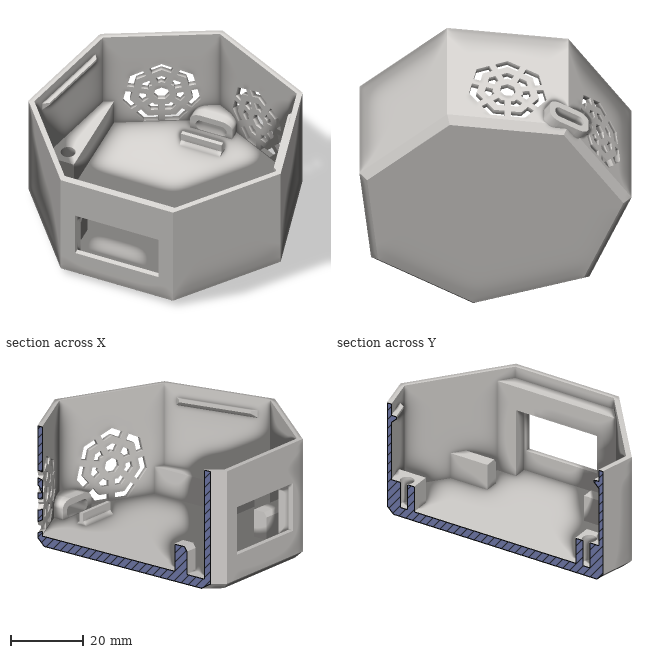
import cadquery as cq
import math

SIDES = 7
WIDTH = 75.75
OVERALL_DEPTH = 74.4
HEIGHT = 35.0
WALL = 1.5
FLOOR_TOP = 3.0
EDGE_BEVEL = 2.05
CORNER_RADIUS = WIDTH / (2 * math.sin(3 * math.pi / SIDES))
APOTHEM_RATIO = math.cos(math.pi / SIDES)
INNER_APOTHEM = CORNER_RADIUS * APOTHEM_RATIO - WALL
INNER_RADIUS = INNER_APOTHEM / APOTHEM_RATIO
SIDE_STEP = 360 / SIDES

VENT_HEIGHT = 13.3
VENT_RINGS = (11.05, 6.6)
VENT_RING_WIDTH = 2.0
VENT_HUB_RADIUS = 2.3
VENT_SPOKE_WIDTH = 1.8

TUBE_WIDTH = 12.7
TUBE_BOTTOM = 1.3
TUBE_HEIGHT = 7.2
TUBE_BACK = OVERALL_DEPTH - CORNER_RADIUS * APOTHEM_RATIO
TUBE_LENGTH = 8.4
TUBE_CORNER_X = 3.5
TUBE_CORNER_Z = 2.3
TUBE_HOLE_WIDTH = 9.25
TUBE_HOLE_BOTTOM = 3.25
TUBE_HOLE_HEIGHT = 3.3
TUBE_HOLE_CORNER = 1.5

RIDGE_LENGTH = 12.2
RIDGE_Y = 24.7
RIDGE_THICKNESS = 1.1
RIDGE_HEIGHT = 3.5
RIDGE_FOOT_WIDTH = 1.05
RIDGE_FOOT_HEIGHT = 1.05

SHELF_TOP = 11.0
SHELF_INNER_X = 26.35
SHELF_FRONT_Y = -3.6
SCREW_X = 29.85
SCREW_Y = 0.45
SCREW_DIAMETER = 4.1

PAD_INNER_X = 15.8
PAD_BACK_Y = -18.7
PAD_FRONT_Y = -23.1
PAD_BEVEL_DEPTH = 0.8
PAD_BEVEL_HEIGHT = 1.4

BLOCK_DEPTH = 4.1
BLOCK_TOP = 31.4
WINDOW_WIDTH = 25.0
WINDOW_BOTTOM = 9.3
WINDOW_TOP = 23.25
RECESS_MARGIN = 0.75

RIB_LENGTH = 25.0
RIB_DEPTH = 1.5
RIB_TOP = 31.4
RIB_HEIGHT = 2.3


def heptagon(radius):
    """Corner points of a regular heptagon, the first one on the local +Y axis."""
    angles = [math.radians(90 + i * SIDE_STEP) for i in range(SIDES)]
    return [(radius * math.cos(a), radius * math.sin(a)) for a in angles]


def heptagon_prism(radius, bottom, top):
    return cq.Workplane("XY").workplane(offset=bottom).polyline(heptagon(radius)).close().extrude(top - bottom)


def box(x_range, y_range, z_range):
    """Box spanning the given (low, high) ranges."""
    lows, highs = zip(x_range, y_range, z_range)
    size = [high - low for low, high in zip(lows, highs)]
    return cq.Workplane("XY").box(*size, centered=False).translate(lows)


def both_sides(body):
    """The body together with its mirror image across the YZ plane."""
    return body.union(body.mirror("YZ"))


def wall_plane(angle, distance, height):
    """Plane parallel to a wall, its normal outward at the angle and its local Y along +Z."""
    a = math.radians(angle)
    normal = (math.cos(a), math.sin(a), 0)
    along = (-math.sin(a), math.cos(a), 0)
    return cq.Plane(origin=(distance * normal[0], distance * normal[1], height), xDir=along, normal=normal)


def make_shell():
    bevel = (
        cq.Workplane("XY").polyline(heptagon(CORNER_RADIUS - EDGE_BEVEL / APOTHEM_RATIO)).close()
        .workplane(offset=EDGE_BEVEL).polyline(heptagon(CORNER_RADIUS)).close()
        .loft(ruled=True)
    )
    walls = heptagon_prism(CORNER_RADIUS, EDGE_BEVEL, HEIGHT)
    return bevel.union(walls).cut(heptagon_prism(INNER_RADIUS, FLOOR_TOP, HEIGHT))


def make_vent_cutter():
    """Openings of one vent: a hub and two rings, the rings split by spokes at their side middles."""
    thickness = 2 * WALL
    face = cq.Workplane(wall_plane(90 - SIDE_STEP / 2, INNER_APOTHEM - WALL / 2, VENT_HEIGHT))

    def web_prism(radius):
        return face.polyline(heptagon(radius)).close().extrude(thickness)

    cutter = cq.Workplane("XY")
    for radius in VENT_RINGS:
        cutter = cutter.add(web_prism(radius).cut(web_prism(radius - VENT_RING_WIDTH / APOTHEM_RATIO)))
    cutter = cutter.combine()
    spoke_length = VENT_RINGS[0]
    spoke = face.center(0, -spoke_length / 2).rect(VENT_SPOKE_WIDTH, spoke_length).extrude(thickness)
    axis_start = cq.Vector(*face.plane.origin.toTuple())
    axis_end = axis_start + face.plane.zDir
    for i in range(SIDES):
        cutter = cutter.cut(spoke.rotate(axis_start, axis_end, i * SIDE_STEP))
    return cutter.union(web_prism(VENT_HUB_RADIUS))


def tube_prism(width, bottom, height, corner_x, corner_z):
    """Prism of the tube's length along Y, its rectangular section rounded by quarter ellipses."""
    half_width = width / 2
    half_height = height / 2
    flat_x = half_width - corner_x
    flat_z = half_height - corner_z
    profile = (
        cq.Workplane("XZ", origin=(0, TUBE_BACK, bottom + half_height))
        .moveTo(half_width, -flat_z).lineTo(half_width, flat_z)
        .ellipseArc(corner_x, corner_z, 0, 90)
        .lineTo(-flat_x, half_height)
        .ellipseArc(corner_x, corner_z, 90, 180)
        .lineTo(-half_width, -flat_z)
        .ellipseArc(corner_x, corner_z, 180, 270)
        .lineTo(flat_x, -half_height)
        .ellipseArc(corner_x, corner_z, 270, 360)
    )
    return profile.close().extrude(TUBE_LENGTH)


def make_ridge():
    half_stem = RIDGE_THICKNESS / 2
    half_foot = half_stem + RIDGE_FOOT_WIDTH
    profile = [
        (RIDGE_Y - half_foot, FLOOR_TOP),
        (RIDGE_Y - half_stem, FLOOR_TOP + RIDGE_FOOT_HEIGHT),
        (RIDGE_Y - half_stem, FLOOR_TOP + RIDGE_HEIGHT),
        (RIDGE_Y + half_stem, FLOOR_TOP + RIDGE_HEIGHT),
        (RIDGE_Y + half_stem, FLOOR_TOP + RIDGE_FOOT_HEIGHT),
        (RIDGE_Y + half_foot, FLOOR_TOP),
    ]
    return cq.Workplane("YZ").polyline(profile).close().extrude(RIDGE_LENGTH / 2, both=True)


def make_shelf():
    shelf = box((SHELF_INNER_X, WIDTH / 2), (SHELF_FRONT_Y, WIDTH / 2), (FLOOR_TOP, SHELF_TOP))
    hole = (
        cq.Workplane("XY", origin=(SCREW_X, SCREW_Y, FLOOR_TOP))
        .circle(SCREW_DIAMETER / 2).extrude(SHELF_TOP - FLOOR_TOP)
    )
    return shelf.cut(hole)


def make_pad():
    pad = box((PAD_INNER_X, WIDTH / 2), (PAD_FRONT_Y, PAD_BACK_Y), (FLOOR_TOP, SHELF_TOP))
    return pad.faces("<Y").edges(">Z").chamfer(PAD_BEVEL_HEIGHT, PAD_BEVEL_DEPTH)


def make_block():
    block = box(
        (-WIDTH / 2, WIDTH / 2), (-INNER_APOTHEM, BLOCK_DEPTH - INNER_APOTHEM), (FLOOR_TOP, BLOCK_TOP)
    )
    half_recess = WINDOW_WIDTH / 2 + RECESS_MARGIN
    recess = box(
        (-half_recess, half_recess),
        (-INNER_APOTHEM, BLOCK_DEPTH - INNER_APOTHEM),
        (FLOOR_TOP, WINDOW_TOP + RECESS_MARGIN),
    )
    return block.cut(recess)


def make_window():
    half = WINDOW_WIDTH / 2
    return box((-half, half), (-INNER_APOTHEM - 2 * WALL, -INNER_APOTHEM), (WINDOW_BOTTOM, WINDOW_TOP))


def make_rib():
    """Rib with a flat top, an upright face, and an underside and ends that slope back at 45 degrees."""
    half = RIB_LENGTH / 2
    plan = (
        cq.Workplane("XY")
        .polyline([(-half, 0), (half, 0), (half - RIB_DEPTH, RIB_DEPTH), (RIB_DEPTH - half, RIB_DEPTH)])
        .close().extrude(RIB_HEIGHT)
    )
    section = (
        cq.Workplane("YZ")
        .polyline([(0, 0), (RIB_DEPTH, RIB_DEPTH), (RIB_DEPTH, RIB_HEIGHT), (0, RIB_HEIGHT)])
        .close().extrude(half, both=True)
    )
    rib = plan.intersect(section).translate((0, -INNER_APOTHEM, RIB_TOP - RIB_HEIGHT))
    return rib.rotate((0, 0, 0), (0, 0, 1), 2 * SIDE_STEP)


def make_tube():
    return tube_prism(TUBE_WIDTH, TUBE_BOTTOM, TUBE_HEIGHT, TUBE_CORNER_X, TUBE_CORNER_Z)


def make_tube_hole():
    return tube_prism(
        TUBE_HOLE_WIDTH, TUBE_HOLE_BOTTOM, TUBE_HOLE_HEIGHT, TUBE_HOLE_CORNER, TUBE_HOLE_CORNER
    )


cavity = heptagon_prism(INNER_RADIUS, FLOOR_TOP, HEIGHT)
fittings = make_block().union(both_sides(make_shelf())).union(both_sides(make_pad())).intersect(cavity)

result = (
    make_shell()
    .cut(both_sides(make_vent_cutter()))
    .cut(make_window())
    .union(fittings)
    .union(both_sides(make_rib()))
    .union(make_ridge())
    .union(make_tube())
    .cut(make_tube_hole())
)